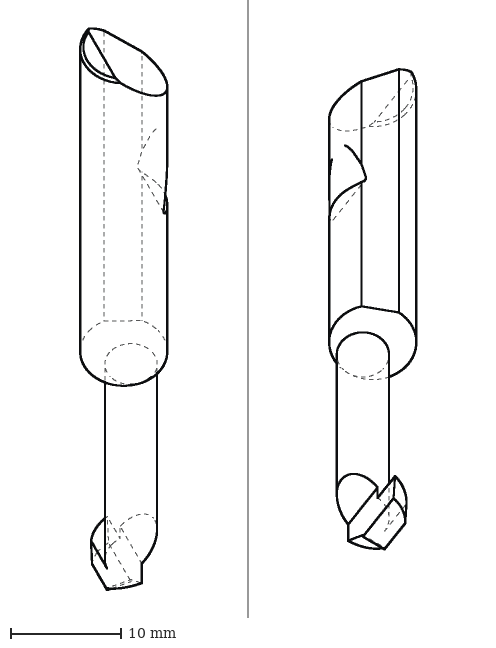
import cadquery as cq
import math


shank_diameter = 7.94
shank_radius = shank_diameter / 2
total_length = 76.2
shank_length = 44.45
shoulder_z = total_length - shank_length
end_chamfer = 0.3

end_flat_y = -2.18
end_slope_angle = 45

side_flat_distance = 3.575
side_flat_direction = 156.7

notch_bottom_z = 53.1
notch_top_z = 62.0
notch_slope_angle = 10
notch_corner_radius = 1.2

neck_diameter = 4.76
neck_radius = neck_diameter / 2
neck_x = shank_radius - neck_radius

rake_y = 0
ramp_bottom_z = 5.35
ramp_angle = 45

heel_z = 0.3
heel_top_z = 2.5

edge_x = -3.6
front_corner_x = -2.0
head_top_z = 3.55
head_top_relief = 0.4
flank_bulge = 0.3
flank_taper = 0.25

cut_margin = 2 * shank_diameter


def cut_along_x(points):
    """Prism running right across the part in X, from an outline of (Y, Z) points."""
    return cq.Workplane("YZ").polyline(points).close().extrude(cut_margin, both=True)


def make_shank():
    shank = (
        cq.Workplane("XY")
        .workplane(offset=shoulder_z)
        .circle(shank_radius)
        .extrude(shank_length)
        .faces(">Z")
        .chamfer(end_chamfer)
    )
    return shank.cut(side_flat_cut()).cut(end_slope_cut()).cut(notch_cut())


def side_flat_cut():
    return (
        cq.Workplane("XY")
        .box(shank_diameter, shank_diameter, total_length, centered=(False, True, False))
        .translate((side_flat_distance, 0, 0))
        .rotate((0, 0, 0), (0, 0, 1), side_flat_direction)
    )


def end_slope_cut():
    drop = cut_margin * math.tan(math.radians(end_slope_angle))
    return cut_along_x([
        (end_flat_y, total_length),
        (end_flat_y + cut_margin, total_length - drop),
        (end_flat_y + cut_margin, total_length),
    ])


def notch_cut():
    height = notch_top_z - notch_bottom_z
    slope = math.tan(math.radians(notch_slope_angle))
    floor_y = shank_radius - height * slope
    outer_y = shank_radius + height * slope
    notch = cut_along_x([
        (floor_y, notch_bottom_z),
        (outer_y, notch_bottom_z),
        (outer_y, notch_top_z + height),
    ])
    return notch.edges("|X and <Z and <Y").fillet(notch_corner_radius)


def make_neck():
    neck = cq.Workplane("XY").center(neck_x, 0).circle(neck_radius).extrude(shoulder_z)
    return neck.cut(rake_cut()).cut(heel_cut())


def rake_cut():
    rise = neck_diameter * math.tan(math.radians(ramp_angle))
    return cut_along_x([
        (rake_y, 0),
        (rake_y, ramp_bottom_z),
        (rake_y + neck_diameter, ramp_bottom_z + rise),
        (rake_y + neck_diameter, 0),
    ])


def heel_cut():
    """Material below the line that climbs from the neck axis to the +X side."""
    return (
        cq.Workplane("XZ")
        .polyline([(neck_x, 0), (neck_x, heel_z), (shank_radius, heel_top_z), (shank_radius, 0)])
        .close()
        .extrude(neck_diameter, both=True)
    )


def head_outline(inset):
    """Closed outline of the head with its curved flank moved inward by inset."""
    start = cq.Vector(edge_x + inset, rake_y)
    end = cq.Vector(front_corner_x + inset, -neck_radius)
    chord = end - start
    outward = cq.Vector(chord.y, -chord.x).normalized()
    middle = (start + end) * 0.5 + outward * flank_bulge
    return cq.Wire.assembleEdges([
        cq.Edge.makeThreePointArc(start, middle, end),
        cq.Edge.makeLine(end, cq.Vector(neck_x, -neck_radius)),
        cq.Edge.makeLine(cq.Vector(neck_x, -neck_radius), cq.Vector(neck_x, rake_y)),
        cq.Edge.makeLine(cq.Vector(neck_x, rake_y), start),
    ])


def make_head():
    """Head with a tapered flank and a top that falls away from the rake face."""
    bottom = head_outline(flank_taper)
    top = head_outline(0).translate(cq.Vector(0, 0, head_top_z))
    head = cq.Workplane(cq.Solid.makeLoft([bottom, top], True))
    return head.cut(cut_along_x([
        (rake_y, head_top_z),
        (-neck_radius, head_top_z - head_top_relief),
        (-neck_radius, head_top_z),
    ]))


result = make_shank().union(make_neck()).union(make_head())